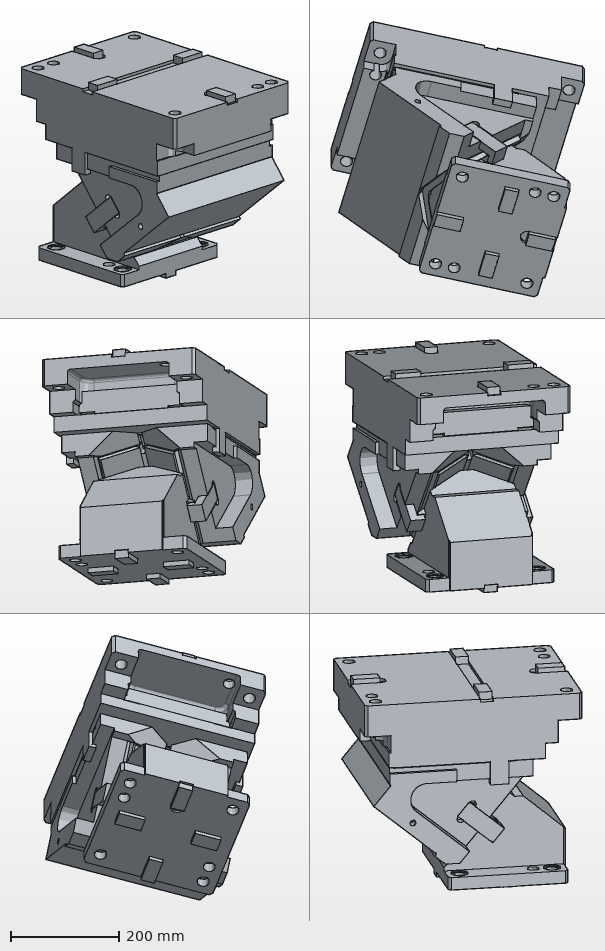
import cadquery as cq
import math

HALF_WIDTH = 150.0
OVERALL_HEIGHT = 393.0
KEY_RISE = 9.0
KEY_SLOT_DEPTH = 5.7
KEY_LENGTH = 50.5

SLIDE_ANGLE = math.radians(50)
SLIDE_X = -99.2
SLIDE_Z = 217.7
VEE_ANGLE = math.radians(30)
ROOF_ZERO = 61.0
GROOVE_ZERO = 70.5
RECESS_ZERO = 85.5

HOOK_START = 97.5
HOOK_WIDTH = 34.5
HOOK_INNER = 99.2
LIP_TOP = -26.0


def slide_point(along, square):
    """The (X, Z) of a point given by its distances along and square to the slide."""
    x = SLIDE_X + along * math.cos(SLIDE_ANGLE) + square * math.sin(SLIDE_ANGLE)
    z = SLIDE_Z - along * math.sin(SLIDE_ANGLE) + square * math.cos(SLIDE_ANGLE)
    return (x, z)


def along_at(z, square):
    """The distance along the slide of the point at height z."""
    return (SLIDE_Z - z + square * math.cos(SLIDE_ANGLE)) / math.sin(SLIDE_ANGLE)


def square_at(z, along):
    """The distance square to the slide of the point at height z."""
    return (z - SLIDE_Z + along * math.sin(SLIDE_ANGLE)) / math.cos(SLIDE_ANGLE)


def flank(y, zero):
    """The height of a vee flank above the slide face, at a distance y from the middle."""
    return (zero - y) * math.tan(VEE_ANGLE)


def along_slide(points, start, end):
    """A prism with a (Y, square) section, running along the slide from start to end."""
    x, z = slide_point(start, 0)
    normal = (math.cos(SLIDE_ANGLE), 0, -math.sin(SLIDE_ANGLE))
    section = cq.Workplane(cq.Plane(origin=(x, 0, z), xDir=(0, 1, 0), normal=normal))
    return section.polyline(points).close().extrude(end - start)


def across(points, half_width):
    """A prism with an (X, Z) outline, centred on Y = 0."""
    return cq.Workplane("XZ").polyline(points).close().extrude(half_width, both=True)


def block(x0, x1, y0, y1, z0, z1):
    """A box between the given limits."""
    return cq.Workplane("XY").box(x1 - x0, y1 - y0, z1 - z0, centered=False).translate((x0, y0, z0))


def both_sides(body):
    """The body of the -Y side together with its mirror image on the +Y side."""
    return body.union(body.mirror("XZ"))


def upright_cylinder(x, y, z0, z1, diameter):
    return cq.Workplane("XY", origin=(x, y, z0)).circle(diameter / 2).extrude(z1 - z0)


def end_slot(x_open, x_end, width, z0, z1):
    """A key slot along X, open at x_open, with a round end that reaches x_end."""
    inward = math.copysign(1, x_end - x_open)
    x_round = x_end - inward * width / 2
    straight = block(min(x_open, x_round), max(x_open, x_round), -width / 2, width / 2, z0, z1)
    return straight.union(upright_cylinder(x_round, 0, z0, z1, width))


BASE_BOTTOM = KEY_RISE
BASE_LEFT = -187.5
BASE_RIGHT = 42.5
BASE_HALF = 82.5
FLANGE_LEFT = -183.5
FLANGE_HALF = 126.0
FLANGE_TOP = 33.2
FLANGE_CHAMFER = 5.7
CORNER_STEP = 2.0
WALL_TOP = 101.3
SHELF_LEFT = -107.0
SHELF_Z = 169.7
ROOF_START = 42.2
ROOF_END = 203.5
RIDGE_HALF = 13.0
HEEL_Z = 54.5
HEEL_LEFT = 28.3
HEEL_CORNER_Z = 40.0
EAR_START = 96.0
EAR_TIP = 97.0
BOLT_X = 87.5
BOLT_Y = 100.0
BOLT_HOLE = 22.0
BOLT_SINK = 32.0
BOLT_SINK_DEPTH = 2.5
DOWEL_HOLE = 21.5
BASE_DOWEL_GAP = 35.5
BASE_KEY_WIDTH = 26.2
BASE_CROSS_KEY_X0 = -91.5
BASE_CROSS_KEY_Y0 = 48.8


def driver_block():
    ridge = flank(RIDGE_HALF, ROOF_ZERO)
    outline = [
        (BASE_LEFT, BASE_BOTTOM),
        (BASE_LEFT, WALL_TOP),
        (SHELF_LEFT, SHELF_Z),
        slide_point(ROOF_START, square_at(SHELF_Z, ROOF_START)),
        slide_point(ROOF_START, ridge),
        slide_point(ROOF_END, ridge),
        slide_point(ROOF_END, square_at(HEEL_Z, ROOF_END)),
        (HEEL_LEFT, HEEL_Z),
        (BASE_RIGHT, HEEL_CORNER_Z),
        (BASE_RIGHT, BASE_BOTTOM),
    ]
    body = across(outline, BASE_HALF)
    above_roof = [
        (-RIDGE_HALF, ridge),
        (-FLANGE_HALF, flank(FLANGE_HALF, ROOF_ZERO)),
        (-FLANGE_HALF, ridge),
    ]
    body = body.cut(both_sides(along_slide(above_roof, ROOF_START, ROOF_END)))
    corner = block(BASE_LEFT, FLANGE_LEFT, -BASE_HALF, CORNER_STEP - BASE_HALF, 0, SHELF_Z)
    return body.cut(both_sides(corner))


def driver_ears():
    section = [
        (-RIDGE_HALF, LIP_TOP),
        (-RIDGE_HALF, flank(RIDGE_HALF, ROOF_ZERO)),
        (-EAR_TIP, flank(EAR_TIP, ROOF_ZERO)),
        (-EAR_TIP, LIP_TOP),
    ]
    return both_sides(along_slide(section, EAR_START, HOOK_START + HOOK_WIDTH))


def driver_flange():
    flange = block(FLANGE_LEFT, BASE_RIGHT, -FLANGE_HALF, FLANGE_HALF, BASE_BOTTOM, FLANGE_TOP)
    return flange.edges("|Z").chamfer(FLANGE_CHAMFER)


def drill_flange(body):
    middle = (FLANGE_LEFT + BASE_RIGHT) / 2
    for side in (-1, 1):
        for end in (-1, 1):
            x = middle + end * BOLT_X
            y = side * BOLT_Y
            body = body.cut(upright_cylinder(x, y, 0, FLANGE_TOP, BOLT_HOLE))
            sink_floor = FLANGE_TOP - BOLT_SINK_DEPTH
            body = body.cut(upright_cylinder(x, y, sink_floor, FLANGE_TOP, BOLT_SINK))
        dowel_x = middle - side * (BOLT_X - BASE_DOWEL_GAP)
        body = body.cut(upright_cylinder(dowel_x, side * BOLT_Y, 0, FLANGE_TOP, DOWEL_HOLE))
    return body


def driver_keys(body):
    half = BASE_KEY_WIDTH / 2
    slot_top = BASE_BOTTOM + KEY_SLOT_DEPTH
    slot_end = FLANGE_LEFT + KEY_LENGTH + half
    body = body.cut(end_slot(BASE_LEFT, slot_end, BASE_KEY_WIDTH, BASE_BOTTOM, slot_top))
    for x0 in (FLANGE_LEFT, BASE_RIGHT - KEY_LENGTH):
        body = body.union(block(x0, x0 + KEY_LENGTH, -half, half, 0, slot_top))
    y0 = BASE_CROSS_KEY_Y0
    x0 = BASE_CROSS_KEY_X0
    cross_key = block(x0, x0 + BASE_KEY_WIDTH, -y0 - KEY_LENGTH, -y0, 0, slot_top)
    return body.union(both_sides(cross_key))


driver = driver_block().union(driver_ears()).union(driver_flange())
driver = driver_keys(drill_flange(driver))

SLIDER_LEFT = -113.5
SLIDER_RIGHT = 158.0
SLIDER_TOP = 260.0
RAIL_HALF = 143.0
RAIL_BOTTOM = 226.7
CHEEK_HALF = 116.5
BOSS_LEFT = 32.0
BOSS_TOP = 249.3
TOE_Z = 68.0
TOE_END = 213.0
TOE_SQUARE = 47.0
HEAD_END = 208.0
HEAD_SQUARE = 201.7
RECESS_ROUND = 30.5
RECESS_ROUND_X = 88.5
RECESS_END = 167.0
CEILING_HALF = 4.5
RIDGE_SLOT_SQUARE = 50.0
RIDGE_SLOT_END = 17.5
PLATE_START = 1.2
PLATE_END = 201.7
PLATE_OUTER = 79.0
PLATE_THICKNESS = (RECESS_ZERO - ROOF_ZERO) * math.sin(VEE_ANGLE)
PLATE_CHAMFER = 2.5
PLATE_LEAD = 3.5
HOOK_OUTER = 115.2
HOOK_TOP = 49.5
HOOK_BOTTOM = -37.5
HOOK_LIP_INNER = 86.0
RELIEF_RADIUS = 7.0
RELIEF_SQUARE = 42.0
SIDE_HOLE_X = 115.0
SIDE_HOLE_Z = 151.5
SIDE_HOLE_DIAMETER = 10.5
SIDE_HOLE_DEPTH = 20.5
PAD_LEFT = -79.5
PAD_RIGHT = 149.2
PAD_BOTTOM = 258.0


def slider_outline():
    outline = [
        (SLIDER_LEFT, SLIDER_TOP),
        (SLIDER_LEFT, SLIDE_Z),
        slide_point(0, 0),
        slide_point(along_at(TOE_Z, 0), 0),
        slide_point(TOE_END, square_at(TOE_Z, TOE_END)),
        slide_point(TOE_END, TOE_SQUARE),
        slide_point(HEAD_END, TOE_SQUARE),
        slide_point(HEAD_END, HEAD_SQUARE),
        slide_point(along_at(RAIL_BOTTOM, HEAD_SQUARE), HEAD_SQUARE),
        (SLIDER_RIGHT, RAIL_BOTTOM),
        (SLIDER_RIGHT, SLIDER_TOP),
    ]
    return across(outline, HALF_WIDTH)


def side_recess():
    """The recess in the -Y cheek: level top, round end, and a lower wall square to the slide."""
    centre_z = RAIL_BOTTOM - RECESS_ROUND
    bisector = (math.pi / 2 - SLIDE_ANGLE) / 2
    arc_middle = (
        RECESS_ROUND_X + RECESS_ROUND * math.cos(bisector),
        centre_z + RECESS_ROUND * math.sin(bisector),
    )
    arc_end = (
        RECESS_ROUND_X + RECESS_ROUND * math.cos(SLIDE_ANGLE),
        centre_z - RECESS_ROUND * math.sin(SLIDE_ANGLE),
    )
    lower = slide_point(RECESS_END, HOOK_BOTTOM)
    outline = (
        cq.Workplane("XZ", origin=(0, -CHEEK_HALF, 0))
        .moveTo(SLIDER_LEFT, RAIL_BOTTOM)
        .lineTo(RECESS_ROUND_X, RAIL_BOTTOM)
        .threePointArc(arc_middle, arc_end)
        .lineTo(*lower)
        .lineTo(SLIDER_LEFT, lower[1])
        .close()
    )
    return outline.extrude(HALF_WIDTH - CHEEK_HALF)


def vee(zero, start):
    """The vee groove with a flat ceiling, cut from start down to the lower end of the slider."""
    ceiling = flank(CEILING_HALF, zero)
    wide = zero - LIP_TOP / math.tan(VEE_ANGLE)
    low = flank(wide, zero)
    section = [(-wide, low), (-CEILING_HALF, ceiling), (CEILING_HALF, ceiling), (wide, low)]
    return along_slide(section, start, TOE_END)


def wear_plate():
    """The -Y half of the wear plate, resting on the roof; its outer edge is square to the roof."""
    top_outer = flank(PLATE_OUTER, RECESS_ZERO)
    edge = PLATE_THICKNESS - PLATE_CHAMFER
    edge_end = (
        PLATE_OUTER - edge * math.sin(VEE_ANGLE),
        top_outer - edge * math.cos(VEE_ANGLE),
    )
    flank_start = (
        PLATE_OUTER - PLATE_THICKNESS * math.sin(VEE_ANGLE) - PLATE_CHAMFER * math.cos(VEE_ANGLE)
    )
    section = [
        (0, flank(CEILING_HALF, RECESS_ZERO)),
        (-CEILING_HALF, flank(CEILING_HALF, RECESS_ZERO)),
        (-PLATE_OUTER, top_outer),
        (-edge_end[0], edge_end[1]),
        (-flank_start, flank(flank_start, ROOF_ZERO)),
        (-CEILING_HALF, flank(CEILING_HALF, ROOF_ZERO)),
        (0, flank(CEILING_HALF, ROOF_ZERO)),
    ]
    plate = along_slide(section, PLATE_START, PLATE_END)
    lead_y = (CEILING_HALF + flank_start) / 2
    lead_x, lead_z = slide_point(PLATE_START, flank(lead_y, ROOF_ZERO))
    lead_edge = cq.selectors.NearestToPointSelector((lead_x, -lead_y, lead_z))
    return plate.edges(lead_edge).chamfer(PLATE_LEAD)


def ridge_slot():
    """The narrow slot along the top of the vee, with a round lower end."""
    section = [
        (-CEILING_HALF, 0),
        (-CEILING_HALF, RIDGE_SLOT_SQUARE),
        (CEILING_HALF, RIDGE_SLOT_SQUARE),
        (CEILING_HALF, 0),
    ]
    round_start = RIDGE_SLOT_END - CEILING_HALF
    x, z = slide_point(round_start, 0)
    into_slider = (math.sin(SLIDE_ANGLE), 0, math.cos(SLIDE_ANGLE))
    floor = cq.Workplane(cq.Plane(origin=(x, 0, z), xDir=(0, 1, 0), normal=into_slider))
    round_end = floor.circle(CEILING_HALF).extrude(RIDGE_SLOT_SQUARE)
    return along_slide(section, -TOE_END, round_start).union(round_end)


def hook_seat():
    """The seat of the -Y hook in the cheek, with round reliefs beside its upper corners."""
    hook_end = HOOK_START + HOOK_WIDTH
    section = [
        (-HALF_WIDTH, 0),
        (-HALF_WIDTH, HOOK_TOP),
        (-HOOK_INNER, HOOK_TOP),
        (-HOOK_INNER, 0),
    ]
    seat = along_slide(section, HOOK_START, hook_end)
    for along in (HOOK_START, hook_end):
        x, z = slide_point(along, RELIEF_SQUARE)
        relief = cq.Workplane("XZ", origin=(x, -HOOK_INNER, z)).circle(RELIEF_RADIUS)
        seat = seat.union(relief.extrude(CHEEK_HALF - HOOK_INNER))
    return seat


def hook():
    section = [
        (-HOOK_OUTER, HOOK_TOP),
        (-HOOK_OUTER, HOOK_BOTTOM),
        (-HOOK_LIP_INNER, HOOK_BOTTOM),
        (-HOOK_LIP_INNER, LIP_TOP),
        (-HOOK_INNER, LIP_TOP),
        (-HOOK_INNER, HOOK_TOP),
    ]
    return along_slide(section, HOOK_START, HOOK_START + HOOK_WIDTH)


def slider_pad_seat():
    return block(PAD_LEFT, PAD_RIGHT, -RAIL_HALF, RAIL_HALF, PAD_BOTTOM, SLIDER_TOP)


def make_slider():
    body = slider_outline()
    above_boss = block(SLIDER_LEFT, SLIDER_RIGHT, -HALF_WIDTH, -RAIL_HALF, BOSS_TOP, SLIDER_TOP)
    beside_rail = block(SLIDER_LEFT, BOSS_LEFT, -HALF_WIDTH, -RAIL_HALF, RAIL_BOTTOM, BOSS_TOP)
    for removed in (above_boss, beside_rail, side_recess(), hook_seat()):
        body = body.cut(both_sides(removed))
    body = body.cut(vee(GROOVE_ZERO, -TOE_END))
    body = body.cut(vee(RECESS_ZERO, 0))
    body = body.cut(slider_pad_seat())
    hole = cq.Workplane("XZ", origin=(SIDE_HOLE_X, -HALF_WIDTH + SIDE_HOLE_DEPTH, SIDE_HOLE_Z))
    body = body.cut(both_sides(hole.circle(SIDE_HOLE_DIAMETER / 2).extrude(SIDE_HOLE_DEPTH)))
    return body.union(both_sides(wear_plate())).cut(ridge_slot()).union(both_sides(hook()))


slider = make_slider()

HALF_LENGTH = 205.0
HOLDER_TOP = OVERALL_HEIGHT - KEY_RISE
PLATE_BOTTOM_LEFT = 333.7
PLATE_BOTTOM_RIGHT = 300.5
UPPER_STEP_X = -160.0
STEP_Z = 290.5
LOWER_STEP_X = -135.7
HOLDER_BOTTOM = 261.0
LOWER_RIGHT_X = 160.0
UPPER_RIGHT_X = 162.5
HOLDER_CHAMFER = 5.5
LEG_LEFT = -66.0
LEG_WIDTH = 34.5
LEG_BOTTOM = 216.5
LEG_LIP_INNER = 136.0
NOTCH_X = 156.5
NOTCH_TOP = 324.0
NOTCH_INNER = 99.5
NOTCH_ROUND = 21.0
POCKET_HALF = 99.5
POCKET_TOP = 361.5
POCKET_WIDE_HALF = 104.5
POCKET_WIDE_Z = 309.5
POCKET_END = -115.0
POCKET_ROUND = 21.0
POCKET_TOP_ROUND = 7.0
GUIDE_LEFT = -131.0
GUIDE_TOP = 335.5
GUIDE_HALF = 97.0
GUIDE_WING_HALF = 102.5
GUIDE_WING_BOTTOM = 295.5
GUIDE_STEM_HALF = 72.0
HOLE_X = 180.5
HOLE_Y = 125.0
HOLDER_HOLE = 22.0
HOLDER_DOWELS = ((-HOLE_X, -85.3), (HOLE_X, 90.0))
END_SLOT_WIDTH = 26.2
END_KEY_WIDTH = 25.0
END_KEY_GAP = 5.5
CROSS_SLOT_LEFT = -37.5
CROSS_SLOT_WIDTH = 24.5
CROSS_KEY_Y0 = 85.3


def holder_outline():
    outline = [
        (-HALF_LENGTH, HOLDER_TOP),
        (-HALF_LENGTH, PLATE_BOTTOM_LEFT),
        (UPPER_STEP_X, PLATE_BOTTOM_LEFT),
        (UPPER_STEP_X, STEP_Z),
        (LOWER_STEP_X, STEP_Z),
        (LOWER_STEP_X, HOLDER_BOTTOM),
        (LOWER_RIGHT_X, HOLDER_BOTTOM),
        (LOWER_RIGHT_X, STEP_Z),
        (UPPER_RIGHT_X, STEP_Z),
        (UPPER_RIGHT_X, PLATE_BOTTOM_RIGHT),
        (HALF_LENGTH, PLATE_BOTTOM_RIGHT),
        (HALF_LENGTH, HOLDER_TOP),
    ]
    body = across(outline, HALF_WIDTH)
    return body.edges("|Z").edges("<X or >X").chamfer(HOLDER_CHAMFER)


def corner_notch():
    notch = block(NOTCH_X, HALF_LENGTH, -HALF_WIDTH, -NOTCH_INNER, STEP_Z, NOTCH_TOP)
    return notch.edges("|Z and <X and >Y").fillet(NOTCH_ROUND)


def leg():
    """The -Y leg, with a lip that reaches under the slider's rail."""
    section = [
        (-HALF_WIDTH, HOLDER_BOTTOM),
        (-HALF_WIDTH, LEG_BOTTOM),
        (-LEG_LIP_INNER, LEG_BOTTOM),
        (-LEG_LIP_INNER, RAIL_BOTTOM),
        (-RAIL_HALF, RAIL_BOTTOM),
        (-RAIL_HALF, HOLDER_BOTTOM),
    ]
    return cq.Workplane("YZ", origin=(LEG_LEFT, 0, 0)).polyline(section).close().extrude(LEG_WIDTH)


def guide_pocket():
    """The pocket under the -X end, less the guide block that stands in it."""
    flare = POCKET_WIDE_HALF - POCKET_HALF
    upper = block(-HALF_LENGTH, POCKET_END, -POCKET_HALF, POCKET_HALF, STEP_Z, POCKET_TOP)
    upper = upper.edges("|Z and >X").fillet(POCKET_ROUND)
    upper = upper.faces(">Z").edges("not(<X)").fillet(POCKET_TOP_ROUND)
    lower_section = [
        (-POCKET_WIDE_HALF, STEP_Z),
        (-POCKET_WIDE_HALF, POCKET_WIDE_Z),
        (-POCKET_HALF, POCKET_WIDE_Z + flare),
        (POCKET_HALF, POCKET_WIDE_Z + flare),
        (POCKET_WIDE_HALF, POCKET_WIDE_Z),
        (POCKET_WIDE_HALF, STEP_Z),
    ]
    lower = cq.Workplane("YZ", origin=(-HALF_LENGTH, 0, 0)).polyline(lower_section).close()
    pocket = upper.union(lower.extrude(POCKET_END + HALF_LENGTH))

    wing_rise = GUIDE_WING_HALF - GUIDE_HALF
    half_guide = [
        (0, STEP_Z),
        (-GUIDE_STEM_HALF, STEP_Z),
        (-GUIDE_STEM_HALF, GUIDE_WING_BOTTOM),
        (-GUIDE_WING_HALF, GUIDE_WING_BOTTOM),
        (-GUIDE_WING_HALF, POCKET_WIDE_Z),
        (-GUIDE_HALF, POCKET_WIDE_Z + wing_rise),
        (-GUIDE_HALF, GUIDE_TOP),
        (0, GUIDE_TOP),
    ]
    guide = cq.Workplane("YZ", origin=(GUIDE_LEFT, 0, 0)).polyline(half_guide).close()
    return pocket.cut(both_sides(guide.extrude(POCKET_END - GUIDE_LEFT)))


def drill_holder(body):
    for x in (-HOLE_X, HOLE_X):
        for y in (-HOLE_Y, HOLE_Y):
            body = body.cut(upright_cylinder(x, y, HOLDER_BOTTOM, HOLDER_TOP, HOLDER_HOLE))
    for x, y in HOLDER_DOWELS:
        body = body.cut(upright_cylinder(x, y, HOLDER_BOTTOM, HOLDER_TOP, DOWEL_HOLE))
    return body


def holder_keys(body):
    slot_floor = HOLDER_TOP - KEY_SLOT_DEPTH
    key_top = HOLDER_TOP + KEY_RISE
    half_key = END_KEY_WIDTH / 2
    key_outer = HALF_LENGTH - END_KEY_GAP
    key_inner = key_outer - KEY_LENGTH
    slot_end = key_inner - END_SLOT_WIDTH / 2
    for side in (-1, 1):
        slot = end_slot(side * HALF_LENGTH, side * slot_end, END_SLOT_WIDTH, slot_floor, HOLDER_TOP)
        body = body.cut(slot)
    for x0 in (-key_outer, key_inner):
        body = body.union(block(x0, x0 + KEY_LENGTH, -half_key, half_key, slot_floor, key_top))
    x0 = CROSS_SLOT_LEFT
    x1 = x0 + CROSS_SLOT_WIDTH
    body = body.cut(block(x0, x1, -HALF_WIDTH, HALF_WIDTH, slot_floor, HOLDER_TOP))
    cross_key = block(x0, x1, -CROSS_KEY_Y0 - KEY_LENGTH, -CROSS_KEY_Y0, slot_floor, key_top)
    return body.union(both_sides(cross_key))


def holder_pad():
    return block(PAD_LEFT, PAD_RIGHT, -RAIL_HALF, RAIL_HALF, PAD_BOTTOM, HOLDER_BOTTOM)


holder = holder_outline().cut(both_sides(corner_notch())).cut(guide_pocket())
holder = holder_keys(drill_holder(holder))
holder = holder.union(holder_pad()).union(both_sides(leg()))

result = cq.Compound.makeCompound([driver.solids().val(), slider.solids().val(), holder.solids().val()])